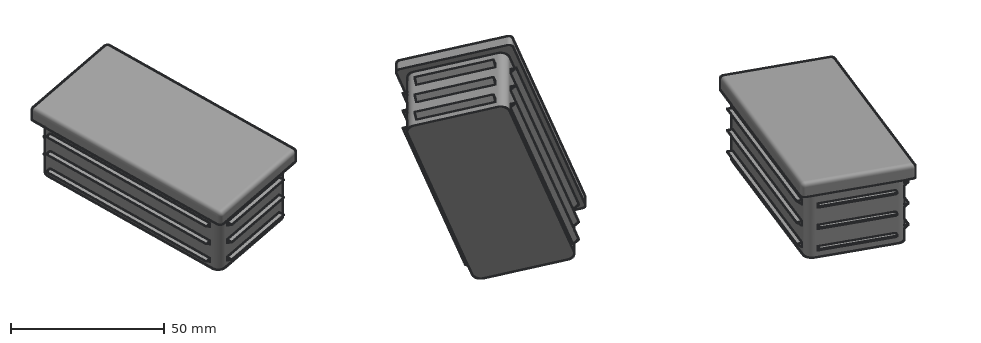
import cadquery as cq

cap_length = 80.0
cap_width = 40.0
total_height = 29.5
cap_thickness = 5.0
cap_radius = 1.5

cap_overhang = 2.6
body_radius = 3.0
body_length = cap_length - 2 * cap_overhang
body_width = cap_width - 2 * cap_overhang
body_height = total_height - cap_thickness

rib_reach = 2.0
rib_height = 1.6
rib_end_gap = 3.9
lowest_rib_top = 4.1
rib_pitch = 7.9
rib_count = 3
rib_embed = 0.4


def make_cap():
    """Cap with rounded vertical corners and a rounded top edge."""
    cap = cq.Workplane("XY").workplane(offset=body_height)
    cap = cap.rect(cap_length, cap_width).extrude(cap_thickness)
    return cap.edges("|Z or >Z").fillet(cap_radius)


def make_body():
    """Straight body with rounded vertical corners, reaching the cap."""
    body = cq.Workplane("XY").rect(body_length, body_width).extrude(body_height)
    return body.edges("|Z").fillet(body_radius)


def make_rib(face_distance, rib_length, top):
    """Barb on the +X side: flat top, underside sloping back to the body."""
    inner = face_distance - rib_embed
    profile = [
        (inner, top),
        (face_distance + rib_reach, top),
        (face_distance, top - rib_height),
        (inner, top - rib_height),
    ]
    return cq.Workplane("XZ").polyline(profile).close().extrude(rib_length / 2, both=True)


result = make_body().union(make_cap())

end_rib_length = body_width - 2 * rib_end_gap
side_rib_length = body_length - 2 * rib_end_gap
for level in range(rib_count):
    rib_top = lowest_rib_top + level * rib_pitch
    end_rib = make_rib(body_length / 2, end_rib_length, rib_top)
    side_rib = make_rib(body_width / 2, side_rib_length, rib_top)
    for turn in (0, 180):
        result = result.union(end_rib.rotate((0, 0, 0), (0, 0, 1), turn))
        result = result.union(side_rib.rotate((0, 0, 0), (0, 0, 1), turn + 90))